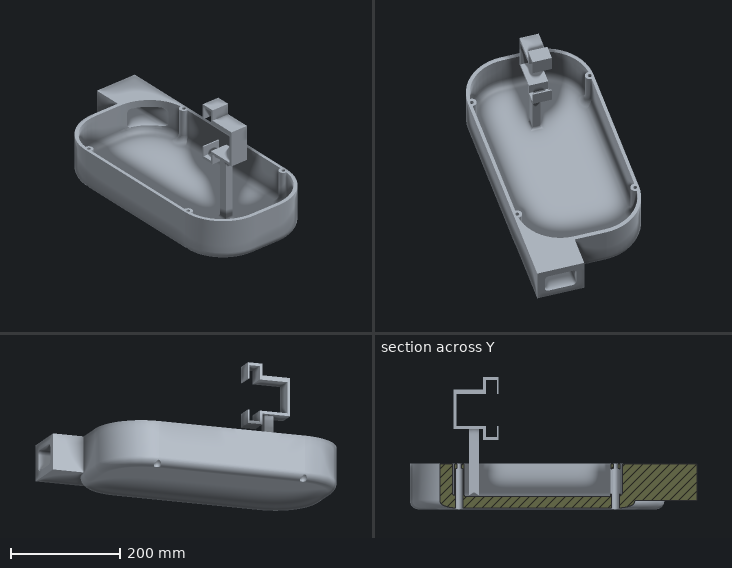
import cadquery as cq

TRAY_LENGTH = 465.0
TRAY_WIDTH = 240.0
TRAY_HEIGHT = 84.0
TRAY_CORNER_RADIUS = 90.0
EDGE_FILLET = 16.0
END_WALL = 8.0
SIDE_WALL = 6.5
FLOOR_THICKNESS = 15.0
CAVITY_FILLET = 15.0

TOTAL_LENGTH = 525.0
INLET_WIDTH = TRAY_CORNER_RADIUS
DUCT_WIDTH = 60.5
DUCT_HEIGHT = 39.5
DUCT_CORNER_RADIUS = 8.0

BOSS_INSET = 7.5
BOSS_RADIUS = 9.0
SCREW_HOLE_DIAMETER = 7.5
HEAD_BORE_DIAMETER = 13.0
HEAD_SEAT_DEPTH = 9.5

POST_X = 115.5
POST_LENGTH = 18.0
POST_WIDTH = 15.0
POST_FLARE = 5.0

CLIP_WIDTH = 37.0
CLIP_FRONT = 70.5
CLIP_BACK = 153.0
CLIP_BOTTOM = 126.5
CLIP_TOP = 241.5
HOOK_DEPTH = 28.5
CLIP_THICKNESS = 5.0
LIP_THICKNESS = 2.5
CHANNEL_BOTTOM = 147.0
CHANNEL_TOP = 219.5
UPPER_ARM_THICKNESS = 8.5

half_length = TRAY_LENGTH / 2
half_width = TRAY_WIDTH / 2
corner_centre_x = half_length - TRAY_CORNER_RADIUS
inlet_face_x = half_length - TOTAL_LENGTH
boss_points = [
    (x_side * corner_centre_x, y_side * (half_width - BOSS_INSET))
    for x_side in (-1, 1)
    for y_side in (-1, 1)
]


def rounded_block(length, width, corner_radius, bottom, top):
    """Upright block with rounded corners, centred on X and Y."""
    return (
        cq.Workplane("XY", origin=(0, 0, bottom))
        .rect(length, width)
        .extrude(top - bottom)
        .edges("|Z")
        .fillet(corner_radius)
    )


def cylinders(diameter, bottom, top):
    """One upright cylinder at every boss position."""
    return (
        cq.Workplane("XY", origin=(0, 0, bottom))
        .pushPoints(boss_points)
        .circle(diameter / 2)
        .extrude(top - bottom)
    )


def make_tray_body():
    """Solid tray outline with its bottom edge rounded."""
    block = rounded_block(TRAY_LENGTH, TRAY_WIDTH, TRAY_CORNER_RADIUS, 0, TRAY_HEIGHT)
    return block.faces("<Z").edges().fillet(EDGE_FILLET)


def make_inlet():
    """Block that squares off one tray corner and carries on past the tray end."""
    length = -corner_centre_x - inlet_face_x
    height = TRAY_HEIGHT - EDGE_FILLET
    inlet = cq.Workplane("XY").box(length, INLET_WIDTH, height, centered=False)
    return inlet.translate((inlet_face_x, half_width - INLET_WIDTH, EDGE_FILLET))


def make_duct():
    """Round-cornered passage along X, from the inlet face into the cavity, ending short of the boss."""
    length = -corner_centre_x - BOSS_RADIUS - inlet_face_x
    middle_y = half_width - INLET_WIDTH / 2
    middle_z = (TRAY_HEIGHT + EDGE_FILLET) / 2
    return (
        cq.Workplane("YZ", origin=(inlet_face_x, middle_y, middle_z))
        .rect(DUCT_WIDTH, DUCT_HEIGHT)
        .extrude(length)
        .edges("|X")
        .fillet(DUCT_CORNER_RADIUS)
    )


def make_cavity():
    """Space inside the tray, leaving the bosses standing and its floor edge rounded."""
    cavity = rounded_block(
        TRAY_LENGTH - 2 * END_WALL,
        TRAY_WIDTH - 2 * SIDE_WALL,
        TRAY_CORNER_RADIUS - SIDE_WALL,
        FLOOR_THICKNESS,
        TRAY_HEIGHT,
    )
    cavity = cavity.cut(cylinders(2 * BOSS_RADIUS, 0, TRAY_HEIGHT))
    return cavity.faces("<Z").edges().fillet(CAVITY_FILLET)


def make_post():
    """Rectangular post from the tray floor up into the lower arm of the clip."""
    height = CHANNEL_BOTTOM + CLIP_THICKNESS / 2 - FLOOR_THICKNESS
    foot = cq.Workplane("XY", origin=(POST_X, 0, FLOOR_THICKNESS))
    return foot.rect(POST_LENGTH, POST_WIDTH).extrude(height)


def flare_post(body):
    """Round the inside corner all the way around the foot of the post."""
    reach_x = POST_LENGTH / 2 + POST_FLARE
    reach_y = POST_WIDTH / 2 + POST_FLARE
    foot = cq.selectors.BoxSelector(
        (POST_X - reach_x, -reach_y, FLOOR_THICKNESS - POST_FLARE),
        (POST_X + reach_x, reach_y, FLOOR_THICKNESS + POST_FLARE),
    )
    return body.edges(foot).fillet(POST_FLARE)


def make_clip():
    """Strip bent into a channel open towards -X, with a hook above and below it."""
    hook_end = CLIP_FRONT + HOOK_DEPTH
    lip_inside = CLIP_FRONT + LIP_THICKNESS
    hook_inside = hook_end - CLIP_THICKNESS
    channel_floor = CHANNEL_BOTTOM + CLIP_THICKNESS
    channel_roof = CHANNEL_TOP - UPPER_ARM_THICKNESS
    channel_back = CLIP_BACK - CLIP_THICKNESS
    profile = [
        (CLIP_FRONT, channel_floor),
        (CLIP_FRONT, CLIP_BOTTOM),
        (hook_end, CLIP_BOTTOM),
        (hook_end, CHANNEL_BOTTOM),
        (CLIP_BACK, CHANNEL_BOTTOM),
        (CLIP_BACK, CHANNEL_TOP),
        (hook_end, CHANNEL_TOP),
        (hook_end, CLIP_TOP),
        (CLIP_FRONT, CLIP_TOP),
        (CLIP_FRONT, channel_roof),
        (lip_inside, channel_roof),
        (lip_inside, CLIP_TOP - CLIP_THICKNESS),
        (hook_inside, CLIP_TOP - CLIP_THICKNESS),
        (hook_inside, channel_roof),
        (channel_back, channel_roof),
        (channel_back, channel_floor),
        (hook_inside, channel_floor),
        (hook_inside, CLIP_BOTTOM + CLIP_THICKNESS),
        (lip_inside, CLIP_BOTTOM + CLIP_THICKNESS),
        (lip_inside, channel_floor),
    ]
    return cq.Workplane("XZ").polyline(profile).close().extrude(CLIP_WIDTH / 2, both=True)


tray = make_tray_body().union(make_inlet())
tray = tray.cut(make_cavity()).cut(make_duct())
tray = tray.cut(cylinders(SCREW_HOLE_DIAMETER, 0, TRAY_HEIGHT))
tray = tray.cut(cylinders(HEAD_BORE_DIAMETER, 0, TRAY_HEIGHT - HEAD_SEAT_DEPTH))

tray = flare_post(tray.union(make_post()))

result = tray.union(make_clip())